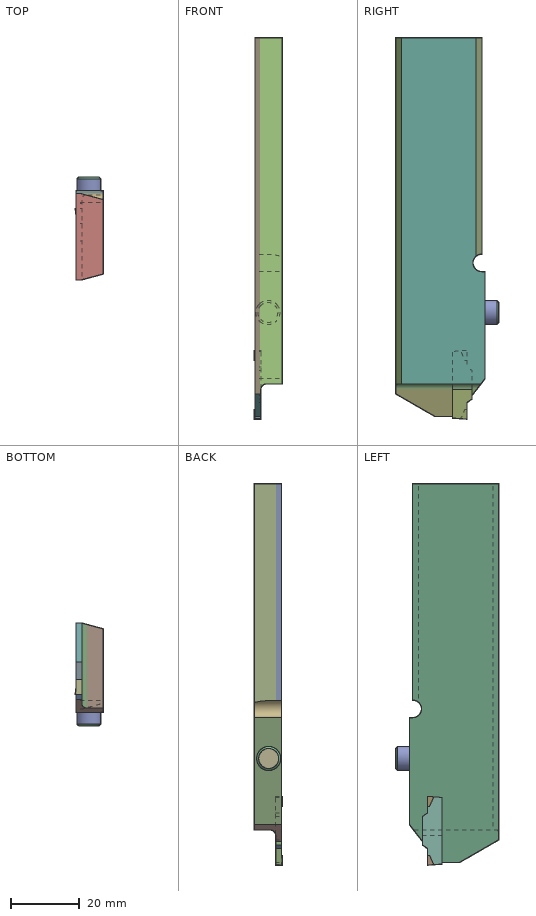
import cadquery as cq
import math

holder_length = 110.0
holder_width = 8.0
shank_depth = 25.1
head_depth = 26.0
blade_thickness = 1.75
dovetail_flat = 1.5
dovetail_angle = 15.0

notch_radius = 2.5
notch_y = 25.0
notch_z = 44.6

blade_top_z = 9.4
blade_fillet = 1.5
back_bevel_run = 11.4
back_bevel_angle = 30.0
front_bevel_height = 11.0
front_bevel_angle = 52.3

screw_diameter = 7.0
screw_height = 4.0
screw_chamfer = 0.6
screw_x = 3.75
screw_z = 30.2

insert_length = 20.0
tip_overhang = 0.8
insert_back_y = 16.5
insert_front_y = 20.75
rib_front_y = 22.25
rib_half_length = 4.15
rib_bevel_z = 1.0
end_relief_angle = 4.0
flare_height = 0.25
flare_depth = 1.85
flare_length = 2.9
flare_shoulder = 0.6
insert_mid_z = insert_length / 2 - tip_overhang


def make_shank():
    """Full-length bar whose front and back edges taper beyond a narrow flat."""
    taper = (holder_width - dovetail_flat) * math.tan(math.radians(dovetail_angle))
    return (
        cq.Workplane("XY")
        .moveTo(0, 0)
        .lineTo(dovetail_flat, 0)
        .lineTo(holder_width, taper)
        .lineTo(holder_width, shank_depth - taper)
        .lineTo(dovetail_flat, shank_depth)
        .lineTo(0, shank_depth)
        .close()
        .extrude(holder_length)
    )


def make_head_front():
    """Square front edge of the head, deeper than the shank and reaching the middle of the notch."""
    overlap = shank_depth / 2
    return cq.Workplane("XY").box(
        holder_width, head_depth - overlap, notch_z, centered=False
    ).translate((0, overlap, 0))


def make_notch():
    """Half-round notch with a straight-sided mouth, open to the front edge."""
    mouth_y = head_depth
    return (
        cq.Workplane("YZ")
        .moveTo(mouth_y, notch_z - notch_radius)
        .lineTo(notch_y, notch_z - notch_radius)
        .threePointArc((notch_y - notch_radius, notch_z), (notch_y, notch_z + notch_radius))
        .lineTo(mouth_y, notch_z + notch_radius)
        .close()
        .extrude(holder_width)
    )


def make_blade_relief():
    """Block removed beside the thin blade, with a rounded inner corner under the shank."""
    return (
        cq.Workplane("XZ")
        .moveTo(blade_thickness, 0)
        .lineTo(holder_width, 0)
        .lineTo(holder_width, blade_top_z)
        .lineTo(blade_thickness + blade_fillet, blade_top_z)
        .radiusArc((blade_thickness, blade_top_z - blade_fillet), -blade_fillet)
        .close()
        .extrude(-head_depth)
    )


def make_bevel(edge_y, run, height):
    """Triangular wedge that bevels a lower corner; run is signed, pointing into the holder."""
    return (
        cq.Workplane("YZ")
        .polyline([(edge_y, 0), (edge_y + run, 0), (edge_y, height)])
        .close()
        .extrude(holder_width)
    )


def make_screw_head():
    """Cylindrical screw head with a chamfered rim."""
    return (
        cq.Workplane("XZ", origin=(screw_x, head_depth, screw_z))
        .circle(screw_diameter / 2)
        .extrude(-screw_height)
        .faces(">Y")
        .chamfer(screw_chamfer)
    )


def make_insert_plate():
    """Insert profile with relieved ends and a locating rib on its front edge."""
    half_front = insert_length / 2
    end_relief = (insert_front_y - insert_back_y) * math.tan(math.radians(end_relief_angle))
    half_back = half_front - end_relief
    rib_root = rib_half_length + rib_bevel_z
    upper_half = [
        (rib_front_y, rib_half_length),
        (insert_front_y, rib_root),
        (insert_front_y, half_front),
        (insert_back_y, half_back),
    ]
    lower_half = [(y, -z) for y, z in reversed(upper_half)]
    return (
        cq.Workplane("YZ", origin=(0, 0, insert_mid_z))
        .polyline(upper_half + lower_half)
        .close()
        .extrude(blade_thickness)
    )


def make_flare(end):
    """Corner of one cutting tip, widening past the side face; end is +1 for upper, -1 for lower."""
    flare_back_y = insert_front_y - flare_depth
    section = (
        cq.Workplane("XY", origin=(0, 0, insert_mid_z))
        .moveTo(0, flare_back_y)
        .lineTo(-flare_height, insert_front_y)
        .lineTo(blade_thickness, insert_front_y)
        .lineTo(blade_thickness, flare_back_y)
        .close()
        .extrude(end * insert_length / 2)
    )
    tip_z = insert_length / 2
    back_z = tip_z - flare_depth * math.tan(math.radians(end_relief_angle))
    side_outline = (
        cq.Workplane("YZ", origin=(-flare_height, 0, insert_mid_z))
        .moveTo(insert_front_y, end * tip_z)
        .lineTo(flare_back_y, end * back_z)
        .lineTo(insert_front_y - flare_shoulder, end * (tip_z - flare_length))
        .lineTo(insert_front_y, end * (tip_z - flare_length))
        .close()
        .extrude(blade_thickness + flare_height)
    )
    return section.intersect(side_outline)


insert = make_insert_plate()
for end in (1, -1):
    insert = insert.union(make_flare(end))

back_bevel_height = back_bevel_run * math.tan(math.radians(back_bevel_angle))
front_bevel_run = front_bevel_height / math.tan(math.radians(front_bevel_angle))

holder = (
    make_shank()
    .union(make_head_front())
    .cut(make_notch())
    .cut(make_blade_relief())
    .cut(make_bevel(0, back_bevel_run, back_bevel_height))
    .cut(make_bevel(head_depth, -front_bevel_run, front_bevel_height))
    .union(make_screw_head())
    .cut(insert)
)

result = cq.Compound.makeCompound([*holder.solids().vals(), *insert.solids().vals()])